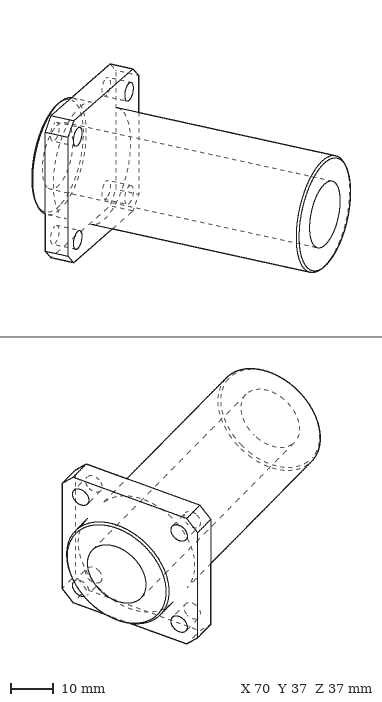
import cadquery as cq

overall_length = 70.0
body_diameter = 28.0
bore_diameter = 16.0
end_chamfer = 0.5

flange_width = 37.0
flange_thickness = 6.0
flange_offset = 6.0
flange_corner_chamfer = 3.0
flange_root_fillet = 0.3

mount_hole_diameter = 4.5
mount_hole_count = 4
mount_pitch_diameter = 38.0
first_hole_angle = 45.0


def make_body():
    """Solid cylinder with both outer end edges chamfered."""
    cylinder = cq.Workplane("YZ").circle(body_diameter / 2).extrude(overall_length)
    return cylinder.faces("<X or >X").edges().chamfer(end_chamfer)


def make_flange():
    """Square plate with its four corners cut off."""
    plate = (
        cq.Workplane("YZ", origin=(flange_offset, 0, 0))
        .rect(flange_width, flange_width)
        .extrude(flange_thickness)
    )
    return plate.edges("|X").chamfer(flange_corner_chamfer)


def fillet_flange_roots(part):
    """Small fillets where the cylinder meets the two flange faces."""
    for flange_face_x in (flange_offset, flange_offset + flange_thickness):
        root_edge = cq.selectors.BoxSelector(
            (flange_face_x - flange_root_fillet, -body_diameter, -body_diameter),
            (flange_face_x + flange_root_fillet, body_diameter, body_diameter),
            boundingbox=True,
        )
        part = part.edges("%CIRCLE").edges(root_edge).fillet(flange_root_fillet)
    return part


def make_bore():
    """Cutter for the straight bore through the full length."""
    return cq.Workplane("YZ").circle(bore_diameter / 2).extrude(overall_length)


def make_mount_holes():
    """Cutters for the four through holes in the flange."""
    return (
        cq.Workplane("YZ", origin=(flange_offset, 0, 0))
        .polarArray(mount_pitch_diameter / 2, first_hole_angle, 360, mount_hole_count, rotate=False)
        .circle(mount_hole_diameter / 2)
        .extrude(flange_thickness)
    )


sleeve = fillet_flange_roots(make_body().union(make_flange()))
result = sleeve.cut(make_bore()).cut(make_mount_holes())